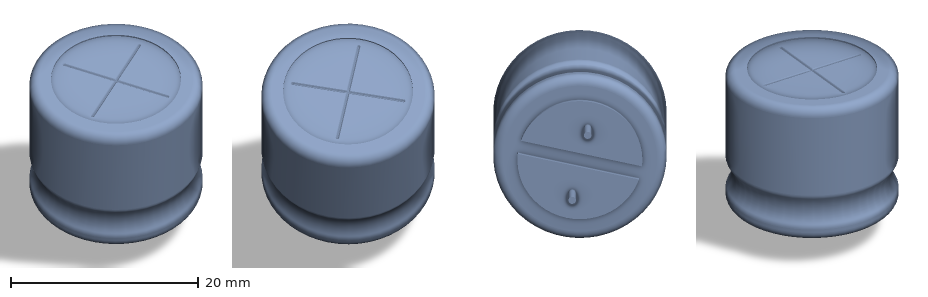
import cadquery as cq
import math

TOTAL_HEIGHT = 19.0
CAN_RADIUS = 9.25
CAN_BOTTOM = 3.0
RIM_RADIUS = 1.0

WAIST_HEIGHT = 6.5
WAIST_DEPTH = 0.66
WAIST_RADIUS = 2.65
WAIST_BLEND = 0.91

TOP_RECESS_DIAMETER = 13.87
TOP_RECESS_DEPTH = 0.19
VENT_LENGTH = 12.45
VENT_WIDTH = 0.38
VENT_DEPTH = 0.13
VENT_WALL_TAPER = 45.0
VENT_ANGLES = (45, -45)

FOOT_DIAMETER = 13.34
FOOT_HEIGHT = 0.5
FOOT_GAP = 1.52

PIN_DIAMETER = 0.8
PIN_SPACING = 7.52
PIN_LENGTH = CAN_BOTTOM - FOOT_HEIGHT


def make_shell():
    """Revolved can with rounded rims and a smoothly blended waist groove."""
    centre_distance = WAIST_RADIUS + WAIST_BLEND
    blend_rise = math.sqrt(centre_distance**2 - (centre_distance - WAIST_DEPTH) ** 2)
    groove_rise = blend_rise * WAIST_RADIUS / centre_distance
    blend_angle = math.asin(blend_rise / centre_distance)
    waist_radial = CAN_RADIUS - WAIST_DEPTH
    groove_end = waist_radial + WAIST_RADIUS * (1 - math.cos(blend_angle))

    half_angle = blend_angle / 2
    blend_middle = CAN_RADIUS - WAIST_BLEND * (1 - math.cos(half_angle))
    middle_rise = blend_rise - WAIST_BLEND * math.sin(half_angle)

    rim_inner = CAN_RADIUS - RIM_RADIUS
    rim_middle = rim_inner + RIM_RADIUS * math.sqrt(0.5)
    rim_inset = RIM_RADIUS * (1 - math.sqrt(0.5))
    profile = (
        cq.Workplane("XZ")
        .moveTo(0, CAN_BOTTOM)
        .lineTo(rim_inner, CAN_BOTTOM)
        .threePointArc((rim_middle, CAN_BOTTOM + rim_inset), (CAN_RADIUS, CAN_BOTTOM + RIM_RADIUS))
        .lineTo(CAN_RADIUS, WAIST_HEIGHT - blend_rise)
        .threePointArc((blend_middle, WAIST_HEIGHT - middle_rise), (groove_end, WAIST_HEIGHT - groove_rise))
        .threePointArc((waist_radial, WAIST_HEIGHT), (groove_end, WAIST_HEIGHT + groove_rise))
        .threePointArc((blend_middle, WAIST_HEIGHT + middle_rise), (CAN_RADIUS, WAIST_HEIGHT + blend_rise))
        .lineTo(CAN_RADIUS, TOTAL_HEIGHT - RIM_RADIUS)
        .threePointArc((rim_middle, TOTAL_HEIGHT - rim_inset), (rim_inner, TOTAL_HEIGHT))
        .lineTo(0, TOTAL_HEIGHT)
        .close()
    )
    return profile.revolve(360, (0, 0, 0), (0, 1, 0))


def make_foot():
    """Flat disc parted along Y into two pads by a central gap."""
    disc = cq.Workplane("XY").workplane(offset=PIN_LENGTH).circle(FOOT_DIAMETER / 2).extrude(FOOT_HEIGHT)
    gap = cq.Workplane("XY").workplane(offset=PIN_LENGTH).rect(FOOT_GAP, FOOT_DIAMETER).extrude(FOOT_HEIGHT)
    return disc.cut(gap)


def make_vent(angle):
    """Cutter for one vent groove with sloping walls and round ends."""
    return (
        cq.Workplane("XY")
        .workplane(offset=TOTAL_HEIGHT - TOP_RECESS_DEPTH)
        .slot2D(VENT_LENGTH, VENT_WIDTH, angle)
        .extrude(-VENT_DEPTH, taper=VENT_WALL_TAPER)
    )


def make_can():
    """Can with its split foot, sunken top and crossed vent grooves."""
    body = make_shell().union(make_foot())
    recess = (
        cq.Workplane("XY")
        .workplane(offset=TOTAL_HEIGHT)
        .circle(TOP_RECESS_DIAMETER / 2)
        .extrude(-TOP_RECESS_DEPTH)
    )
    body = body.cut(recess)
    for angle in VENT_ANGLES:
        body = body.cut(make_vent(angle))
    return body


def make_pin(x):
    """Round pin standing under one pad."""
    return cq.Workplane("XY").center(x, 0).circle(PIN_DIAMETER / 2).extrude(PIN_LENGTH)


can = make_can()
pins = [make_pin(side * PIN_SPACING / 2) for side in (-1, 1)]

result = cq.Compound.makeCompound([can.solids().val(), *[pin.val() for pin in pins]])